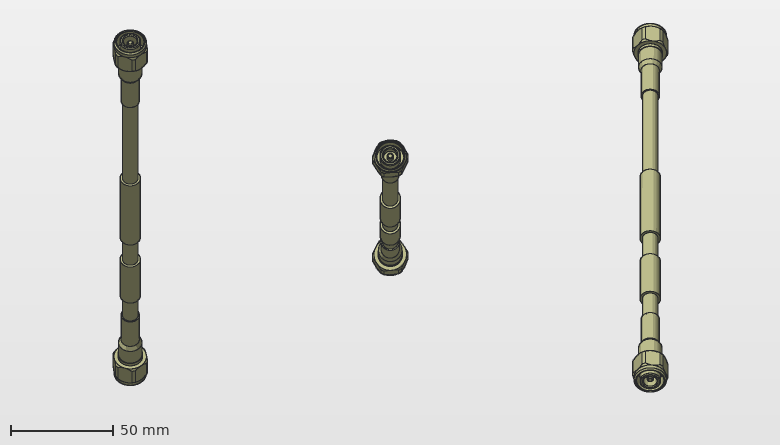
import cadquery as cq
import math

overall_length = 256.2
half_length = overall_length / 2

cable_diameter = 7.7
cable_radius = cable_diameter / 2

marker_diameter = 10.0
marker_radius = marker_diameter / 2
long_marker_ends = (-22.5, 22.8)
short_marker_ends = (-67.1, -39.5)

nut_front = 0.5
hex_front = 3.3
nut_back = 14.0
collar_end = 16.0
body_end = 24.9
taper_end = 27.2
boot_end = 45.9

nut_across_flats = 16.0
nut_corner_radius = 8.7
nut_nose_radius = nut_across_flats / 2
nose_chamfer = 0.8
hex_chamfer_width = nut_corner_radius - nut_nose_radius
hex_chamfer_height = 1.0
nut_bore_radius = 6.7
nut_bore_chamfer = 0.38
nut_bore_depth = 7.7

collar_diameter = 12.0
collar_radius = collar_diameter / 2
body_diameter = 11.5
body_radius = body_diameter / 2
boot_diameter = 9.0
boot_radius = boot_diameter / 2
plug_radius = 5.0
plug_tip_chamfer = 0.5
plug_bore_radius = 3.3
plug_bore_chamfer = 0.5
plug_bore_depth = 6.5
pin_radius = 1.5
pin_tip_chamfer = 0.5
pin_recess = 1.3

smallest_circle = cq.selectors.RadiusNthSelector(0)


def cylinder(radius, start, end):
    """Cylinder on the Z axis between two heights."""
    return cq.Workplane("XY").workplane(offset=start).circle(radius).extrude(end - start)


def make_hex():
    """Hexagonal part of the nut, flats facing +X and -X, its corners turned round and chamfered."""
    hex_length = nut_back - hex_front
    across_corners = nut_across_flats / math.cos(math.radians(30))
    prism = (
        cq.Workplane("XY")
        .workplane(offset=hex_front)
        .transformed(rotate=(0, 0, 30))
        .polygon(6, across_corners)
        .extrude(hex_length)
    )
    turned_blank = cylinder(nut_corner_radius, hex_front, nut_back)
    turned_blank = turned_blank.edges().chamfer(hex_chamfer_height, hex_chamfer_width)
    return prism.intersect(turned_blank)


def make_nut():
    """Coupling nut: hexagon with a round chamfered nose and an open front bore."""
    nose = cylinder(nut_nose_radius, nut_front, nut_back - hex_chamfer_height)
    nose = nose.faces("<Z").edges().chamfer(nose_chamfer)
    bore = cylinder(nut_bore_radius, nut_front, nut_front + nut_bore_depth)
    nut = make_hex().union(nose).cut(bore)
    return nut.faces("<Z").edges(smallest_circle).chamfer(nut_bore_chamfer)


def make_shank():
    """Collar, body, taper and boot behind the nut, turned as one profile."""
    start_inside_nut = nut_back - hex_chamfer_height
    return (
        cq.Workplane("XZ")
        .moveTo(0, start_inside_nut)
        .lineTo(collar_radius, start_inside_nut)
        .lineTo(collar_radius, collar_end)
        .lineTo(body_radius, collar_end)
        .lineTo(body_radius, body_end)
        .lineTo(boot_radius, taper_end)
        .lineTo(boot_radius, boot_end)
        .lineTo(0, boot_end)
        .close()
        .revolve(360, (0, 0, 0), (0, 1, 0))
    )


def make_plug():
    """Hollow plug standing in the nut bore, with a centre pin."""
    plug = cylinder(plug_radius, 0, nut_front + nut_bore_depth)
    plug = plug.faces("<Z").edges().chamfer(plug_tip_chamfer)
    plug = plug.cut(cylinder(plug_bore_radius, 0, plug_bore_depth))
    plug = plug.faces("<Z").edges(smallest_circle).chamfer(plug_bore_chamfer)
    pin = cylinder(pin_radius, pin_recess, plug_bore_depth)
    pin = pin.faces("<Z").edges().chamfer(pin_tip_chamfer)
    return plug.union(pin)


def make_connector():
    """One connector with its plug tip at Z = 0 and the cable hole opening at the boot end."""
    cable_hole = cylinder(cable_radius, body_end, boot_end)
    return make_nut().union(make_shank()).union(make_plug()).cut(cable_hole)


def make_cable():
    """Cable reaching the bottom of the hole in each connector."""
    cable_half_length = half_length - body_end
    return cylinder(cable_radius, -cable_half_length, cable_half_length)


def make_marker(ends):
    """Tubular sleeve fitting tightly on the cable."""
    start, end = ends
    return cylinder(marker_radius, start, end).cut(cylinder(cable_radius, start, end))


cable = make_cable()
markers = [make_marker(ends) for ends in (long_marker_ends, short_marker_ends)]
lower_connector = make_connector().translate((0, 0, -half_length))
connectors = [lower_connector, lower_connector.mirror("XY")]

result = cq.Compound.makeCompound([body.val() for body in [cable, *markers, *connectors]])